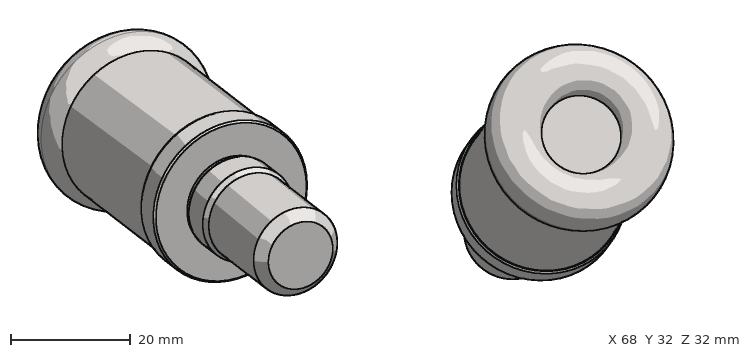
import cadquery as cq

overall_length = 68.0
bead_diameter = 31.95
tube_radius = 4.8
bead_ring_radius = bead_diameter / 2 - tube_radius
bead_x = tube_radius
end_face_x = 2.85

body_radius = 28.0 / 2
flange_radius = 29.0 / 2
flange_start = 37.9
flange_end = 42.9
flange_chamfer = 0.35

neck_radius = 16.6 / 2
neck_end = 43.65
collar_radius = 17.0 / 2
collar_chamfer = collar_radius - neck_radius
collar_end = 48.95
collar_taper_length = 1.0
stem_radius = 15.8 / 2
stem_chamfer = 1.85


def turned_body():
    """Revolve the stepped half profile about the X axis."""
    profile = [
        (end_face_x, 0),
        (end_face_x, bead_ring_radius),
        (bead_x, body_radius),
        (flange_start, body_radius),
        (flange_start, flange_radius - flange_chamfer),
        (flange_start + flange_chamfer, flange_radius),
        (flange_end - flange_chamfer, flange_radius),
        (flange_end, flange_radius - flange_chamfer),
        (flange_end, neck_radius),
        (neck_end, neck_radius),
        (neck_end + collar_chamfer, collar_radius),
        (collar_end, collar_radius),
        (collar_end + collar_taper_length, stem_radius),
        (overall_length - stem_chamfer, stem_radius),
        (overall_length, stem_radius - stem_chamfer),
        (overall_length, 0),
    ]
    return cq.Workplane("XY").polyline(profile).close().revolve(360, (0, 0, 0), (1, 0, 0))


def end_bead():
    """Round ring around the -X end, leaving a recessed flat disc at its centre."""
    ring = cq.Solid.makeTorus(
        bead_ring_radius, tube_radius, cq.Vector(bead_x, 0, 0), cq.Vector(1, 0, 0)
    )
    return cq.Workplane(obj=ring)


result = turned_body().union(end_bead())